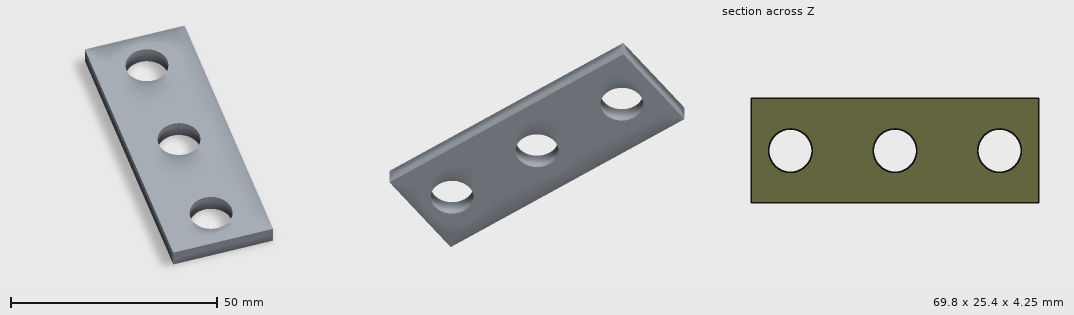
import cadquery as cq

length = 69.85
width = 25.4
thickness = 4.25

hole_diameter = 10.4
hole_pitch = 25.35
hole_count = 3

plate = cq.Workplane("XY").box(length, width, thickness)

result = (
    plate.faces(">Z")
    .workplane()
    .rarray(hole_pitch, 0.7, hole_count, 1)
    .hole(hole_diameter)
)